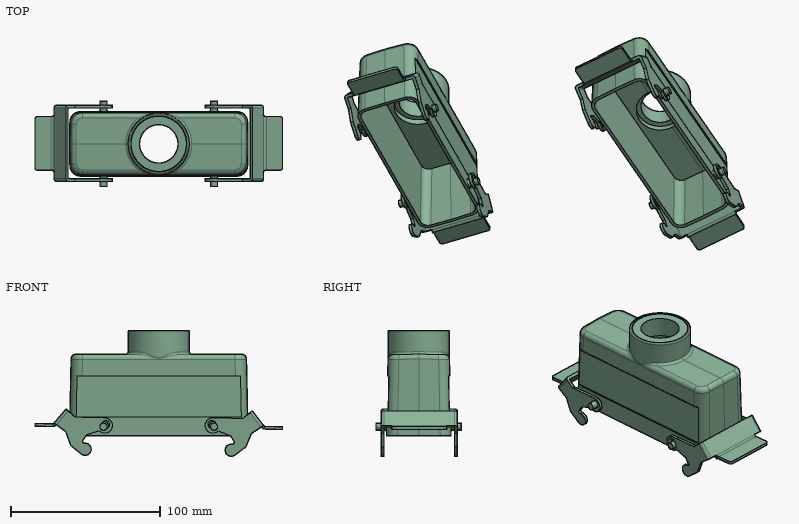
import cadquery as cq
import math

HOOD_HALF_X = 60.0
HOOD_HALF_Y = 21.7
HOOD_HEIGHT = 54.8
HOOD_CORNER = 7.5
HOOD_TOP_ROUND = 3.3
HOOD_WALL = 2.0
DRAFT = 1.2
DRAFT_SLOPE = math.tan(math.radians(DRAFT))

PANEL_BOTTOM = 12.8
PANEL_TOP = 40.0
PANEL_DEPTH = 0.8

NECK_TOP = 70.7
NECK_RADIUS = 41.0 / 2
NECK_RIM_ROUND = 0.8
NECK_BASE_ROUND = 1.7
NECK_BORE_RADIUS = 37.0 / 2
NECK_MOUTH_RADIUS = 37.5 / 2
CABLE_HOLE_RADIUS = 32.0 / 2

SEAL_HOLE_RADIUS = 25.5 / 2
SEAL_HEIGHT = 13.5
MOUTH_CHAMFER = NECK_MOUTH_RADIUS - NECK_BORE_RADIUS
SEAL_TOP = NECK_TOP - MOUTH_CHAMFER
SEAL_BOTTOM = SEAL_TOP - SEAL_HEIGHT

SELECT_MARGIN = 0.2

PIN_RADIUS = 2.4
PIN_X = 37.0
PIN_Z = 6.1
PIN_TIP_Y = 57.3 / 2
PIN_BASE_ROUND = 1.2

LEVER_HALF_WIDTH = 25.5
SHEET = 2.0
LEVER_SIDE_SHIFT = 0.3
BEND_OUTER = 2.0
BEND_INNER = 0.5
LEVER_TILT = 1.4
EYE_RADIUS = 5.1
EYE_OFFSET = 0.8
EYE_X = PIN_X - EYE_OFFSET
EYE_Z = PIN_Z + EYE_OFFSET
SLOT_CLEARANCE = 0.2
SLOT_WIDTH = 2 * PIN_RADIUS + SLOT_CLEARANCE
SLOT_TRAVEL = 2 * EYE_OFFSET * math.sqrt(2)
SLOT_ANGLE = -45

SHOULDER = (20.0, EYE_RADIUS)
PLATE_TOP = (26.2, 10.5)
PLATE_BOTTOM = (34.0, 0.8)
HEEL = (26.0, -4.8)
KNEE = (22.5, -13.8)
HOOK_CENTRE = (12.8, -16.3)
HOOK_RADIUS = 4.1
NOTCH = (15.6, HOOK_CENTRE[1] + HOOK_RADIUS)
NOTCH_ROUND = 1.2
THROAT = (11.8, -6.5)
EYE_EXIT_ANGLE = -45

TAB_END = 46.8
TAB_TOP = 0.3
TAB_BOTTOM = TAB_TOP - SHEET
TAB_BEND_END = 35.9
TAB_HALF_WIDTH = 18.1
TAB_CORNER = 1.8
TAB_FLARE = 0.7


def polar(centre, radius, degrees):
    angle = math.radians(degrees)
    return (centre[0] + radius * math.cos(angle), centre[1] + radius * math.sin(angle))


def drafted_block(half_x, half_y, corner, height, top_round=0):
    """Rounded block tapering upward; its ends and top also fall away slightly from the plane Y = 0.

    The +Y half is trimmed from a block that runs past the plane, then mirrored.
    """
    fall = half_y * DRAFT_SLOPE
    half = (
        cq.Workplane("XY")
        .polyline([
            (half_x - fall, half_y),
            (fall - half_x, half_y),
            (-half_x - fall, -half_y),
            (half_x + fall, -half_y),
        ])
        .close()
        .extrude(height + fall, taper=DRAFT)
    )
    above_top = (
        cq.Workplane("YZ")
        .polyline([
            (-2 * half_y, height + 2 * fall),
            (2 * half_y, height - 2 * fall),
            (2 * half_y, 2 * height),
            (-2 * half_y, 2 * height),
        ])
        .close()
        .extrude(2 * half_x, both=True)
    )
    upright = cq.selectors.BoxSelector(
        (-2 * half_x, 0, height / 4), (2 * half_x, 2 * half_y, 3 * height / 4)
    )
    half = half.cut(above_top).edges(upright).fillet(corner)
    if top_round:
        half = half.faces(">Z").edges().fillet(top_round)
    half = half.intersect(
        cq.Workplane("XY").box(4 * half_x, 2 * half_y, 2 * height, centered=(True, False, True))
    )
    return half.union(half.mirror("XZ"))


def side_panel_cutter():
    """Takes PANEL_DEPTH off the drafted -Y wall between the panel's bottom and top."""
    def panel_y(z):
        return -(HOOD_HALF_Y - z * DRAFT_SLOPE - PANEL_DEPTH)

    outside_y = -HOOD_HALF_Y - PANEL_DEPTH
    return (
        cq.Workplane("YZ")
        .moveTo(panel_y(PANEL_BOTTOM), PANEL_BOTTOM)
        .lineTo(panel_y(PANEL_TOP), PANEL_TOP)
        .lineTo(outside_y, PANEL_TOP)
        .lineTo(outside_y, PANEL_BOTTOM)
        .close()
        .extrude(HOOD_HALF_X, both=True)
    )


def cylinder_z(radius, bottom, top):
    return cq.Workplane("XY").workplane(offset=bottom).circle(radius).extrude(top - bottom)


def make_pin(x):
    """Pin on the -Y wall with a flared foot."""
    wall_y = HOOD_HALF_Y - PIN_Z * DRAFT_SLOPE
    root_y = wall_y - HOOD_WALL / 2
    foot = PIN_BASE_ROUND
    return (
        cq.Workplane("XY")
        .moveTo(0, root_y)
        .lineTo(PIN_RADIUS + foot, root_y)
        .lineTo(PIN_RADIUS + foot, wall_y)
        .radiusArc((PIN_RADIUS, wall_y + foot), foot)
        .lineTo(PIN_RADIUS, PIN_TIP_Y)
        .lineTo(0, PIN_TIP_Y)
        .close()
        .revolve(360, (0, 0, 0), (0, 1, 0))
        .mirror("XZ")
        .translate((x, 0, PIN_Z))
    )


def make_hood():
    hood = drafted_block(HOOD_HALF_X, HOOD_HALF_Y, HOOD_CORNER, HOOD_HEIGHT, HOOD_TOP_ROUND)

    neck = cylinder_z(NECK_RADIUS, HOOD_HEIGHT - 2 * HOOD_TOP_ROUND, NECK_TOP)
    neck = neck.faces(">Z").edges().fillet(NECK_RIM_ROUND)
    hood = hood.union(neck)
    reach = NECK_RADIUS + SELECT_MARGIN
    neck_foot = cq.selectors.BoxSelector(
        (-reach, -reach, HOOD_HEIGHT - HOOD_TOP_ROUND),
        (reach, reach, HOOD_HEIGHT + SELECT_MARGIN),
        boundingbox=True,
    )
    hood = hood.edges(neck_foot).fillet(NECK_BASE_ROUND)

    panel = side_panel_cutter()
    hood = hood.cut(panel).cut(panel.mirror("XZ"))

    cavity = drafted_block(
        HOOD_HALF_X - HOOD_WALL,
        HOOD_HALF_Y - HOOD_WALL,
        HOOD_CORNER - HOOD_WALL,
        HOOD_HEIGHT - HOOD_WALL,
    )
    hood = hood.cut(cavity)
    hood = hood.cut(cylinder_z(CABLE_HOLE_RADIUS, 0, NECK_TOP))
    hood = hood.cut(cylinder_z(NECK_BORE_RADIUS, SEAL_BOTTOM, NECK_TOP))
    mouth = cq.Solid.makeCone(
        NECK_BORE_RADIUS, NECK_MOUTH_RADIUS, MOUTH_CHAMFER, pnt=cq.Vector(0, 0, SEAL_TOP)
    )
    hood = hood.cut(cq.Workplane(mouth))

    for x in (-PIN_X, PIN_X):
        pin = make_pin(x)
        hood = hood.union(pin).union(pin.mirror("XZ"))
    return hood


def make_seal():
    return cylinder_z(NECK_BORE_RADIUS, SEAL_BOTTOM, SEAL_TOP).cut(
        cylinder_z(SEAL_HOLE_RADIUS, SEAL_BOTTOM, SEAL_TOP)
    )


def plate_point(start, inward, upward=0):
    """Moves from a point on the end plate's outer face: square to it into the lever, then up along it."""
    run = PLATE_BOTTOM[0] - PLATE_TOP[0]
    drop = PLATE_TOP[1] - PLATE_BOTTOM[1]
    length = math.hypot(run, drop)
    return (
        start[0] - (inward * drop + upward * run) / length,
        start[1] - (inward * run - upward * drop) / length,
    )


def lever_outline():
    """Side outline of eye, arm, end plate and hook."""
    origin = (0, 0)
    to_knee = math.dist(HOOK_CENTRE, KNEE)
    knee_bearing = math.degrees(math.atan2(KNEE[1] - HOOK_CENTRE[1], KNEE[0] - HOOK_CENTRE[0]))
    tangent_angle = knee_bearing - math.degrees(math.acos(HOOK_RADIUS / to_knee))
    return (
        cq.Workplane("XZ")
        .moveTo(0, EYE_RADIUS)
        .lineTo(*SHOULDER)
        .lineTo(*PLATE_TOP)
        .lineTo(*PLATE_BOTTOM)
        .lineTo(*HEEL)
        .lineTo(*KNEE)
        .lineTo(*polar(HOOK_CENTRE, HOOK_RADIUS, tangent_angle))
        .threePointArc(polar(HOOK_CENTRE, HOOK_RADIUS, 180), polar(HOOK_CENTRE, HOOK_RADIUS, 90))
        .lineTo(*NOTCH)
        .lineTo(*THROAT)
        .lineTo(*polar(origin, EYE_RADIUS, EYE_EXIT_ANGLE))
        .threePointArc(polar(origin, EYE_RADIUS, 180), (0, EYE_RADIUS))
        .close()
    )


def make_tab():
    """Finger tab: its bent side section trimmed to its plan outline."""
    plate_inner = plate_point(PLATE_BOTTOM, SHEET)
    root = plate_point(PLATE_BOTTOM, SHEET, SHEET)
    section = (
        cq.Workplane("XZ")
        .moveTo(*PLATE_BOTTOM)
        .radiusArc((TAB_BEND_END, TAB_TOP), -SHEET)
        .lineTo(TAB_END, TAB_TOP)
        .lineTo(TAB_END, TAB_BOTTOM)
        .lineTo(PLATE_BOTTOM[0], TAB_BOTTOM)
        .lineTo(*plate_inner)
        .lineTo(*root)
        .close()
        .extrude(LEVER_HALF_WIDTH, both=True)
    )
    flare_end = PLATE_BOTTOM[0] + TAB_FLARE
    plan = (
        cq.Workplane("XY")
        .workplane(offset=-LEVER_HALF_WIDTH)
        .moveTo(root[0], -TAB_HALF_WIDTH - TAB_FLARE)
        .lineTo(PLATE_BOTTOM[0], -TAB_HALF_WIDTH - TAB_FLARE)
        .radiusArc((flare_end, -TAB_HALF_WIDTH), -TAB_FLARE)
        .lineTo(TAB_END, -TAB_HALF_WIDTH)
        .lineTo(TAB_END, TAB_HALF_WIDTH)
        .lineTo(flare_end, TAB_HALF_WIDTH)
        .radiusArc((PLATE_BOTTOM[0], TAB_HALF_WIDTH + TAB_FLARE), -TAB_FLARE)
        .lineTo(root[0], TAB_HALF_WIDTH + TAB_FLARE)
        .close()
        .extrude(2 * LEVER_HALF_WIDTH)
        .edges("|Z and >X")
        .fillet(TAB_CORNER)
    )
    return section.intersect(plan)


def make_lever():
    """Lever of bent sheet, eye centre at the origin, reaching out along +X."""
    lever = lever_outline().extrude(LEVER_HALF_WIDTH, both=True)
    lever = lever.edges(cq.selectors.NearestToPointSelector((NOTCH[0], 0, NOTCH[1]))).fillet(NOTCH_ROUND)

    top = plate_point(PLATE_TOP, SHEET)
    bottom = plate_point(PLATE_BOTTOM, SHEET)
    step = (bottom[0] - top[0], bottom[1] - top[1])
    above = (top[0] - step[0], top[1] - step[1])
    below = (bottom[0] + 3 * step[0], bottom[1] + 3 * step[1])
    hollow = (
        cq.Workplane("XZ")
        .moveTo(*above)
        .lineTo(*below)
        .lineTo(-EYE_X, below[1])
        .lineTo(-EYE_X, above[1])
        .close()
        .extrude(LEVER_HALF_WIDTH - SHEET, both=True)
    )
    plate_edges = cq.selectors.ParallelDirSelector(cq.Vector(step[0], 0, step[1]))
    hollow = hollow.edges(plate_edges).fillet(BEND_INNER)
    lever = lever.edges(plate_edges).fillet(BEND_OUTER).cut(hollow)

    slot = (
        cq.Workplane("XZ")
        .slot2D(SLOT_TRAVEL + SLOT_WIDTH, SLOT_WIDTH, SLOT_ANGLE)
        .extrude(LEVER_HALF_WIDTH, both=True)
    )
    return lever.cut(slot).union(make_tab())


def place_lever(side):
    lever = make_lever()
    if side < 0:
        lever = lever.mirror("YZ")
    lever = lever.rotate((0, 0, 0), (0, 1, 0), LEVER_TILT)
    return lever.translate((side * EYE_X, LEVER_SIDE_SHIFT, EYE_Z))


hood = make_hood()
seal = make_seal()
levers = [place_lever(side) for side in (-1, 1)]

result = cq.Compound.makeCompound([hood.val(), seal.val(), *[lever.val() for lever in levers]])